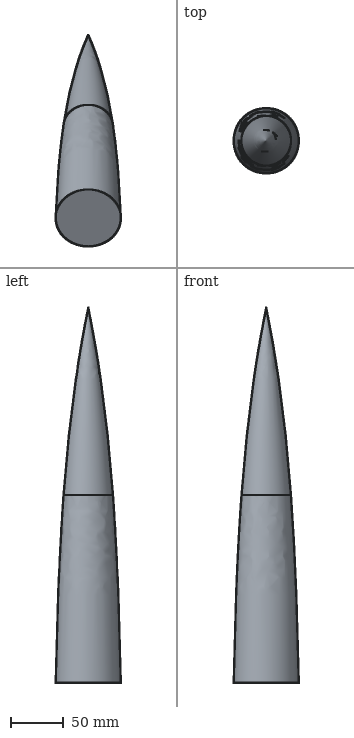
import cadquery as cq

total_length = 355.6
base_radius = 31.0
joint_height = total_length / 2

lower_control = (28.15, 143.0)
upper_control = (21.1, 254.0)


def full_ogive():
    """Whole pointed shape, turned about Z from its base to its tip."""
    base_edge = (base_radius, 0)
    tip = (0, total_length)
    return (
        cq.Workplane("XZ")
        .lineTo(*base_edge)
        .bezier([base_edge, lower_control, upper_control, tip])
        .close()
        .revolve(360, (0, 0, 0), (0, 1, 0))
    )


def slice_between(bottom, top):
    """Part of the pointed shape between two heights, cut by flat faces."""
    slab_width = 3 * base_radius
    slab = (
        cq.Workplane("XY", origin=(0, 0, bottom))
        .rect(slab_width, slab_width)
        .extrude(top - bottom)
    )
    return full_ogive().intersect(slab).solids()


lower_body = slice_between(0, joint_height)

nose_tip = slice_between(joint_height, total_length)

result = cq.Compound.makeCompound([lower_body.val(), nose_tip.val()])